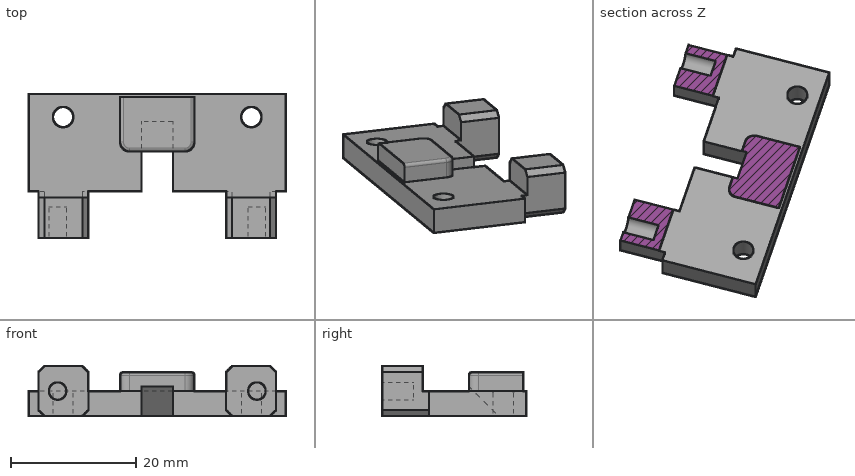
import cadquery as cq

plate_width = 41.0
plate_depth = 15.55
plate_thickness = 3.98
mount_hole_diameter = 3.2
mount_hole_spacing = 30.0
mount_hole_edge_distance = 3.7

lug_size = 8.0
lug_spacing = 29.95
lug_chamfer = 1.0
lug_length = 7.45
lug_neck = 1.0
lug_block_length = lug_length - lug_neck
lug_hole_diameter = 2.8
lug_hole_spacing = 31.78
lug_hole_height = lug_size / 2
lug_hole_depth = 5.0

pad_width = 11.85
pad_depth = 8.7
pad_top = 7.0
pad_back_gap = 0.5
pad_corner_radius = 1.5
pad_edge_radius = 0.55

slot_width = 5.0
slot_height = 4.75
slope_run = slot_height

pad_back = plate_depth - pad_back_gap
pad_front = pad_back - pad_depth


def make_plate():
    plate = cq.Workplane("XY").box(plate_width, plate_depth, plate_thickness, centered=(True, False, False))
    hole_y = plate_depth - mount_hole_edge_distance
    holes = [(side * mount_hole_spacing / 2, hole_y) for side in (-1, 1)]
    cutters = cq.Workplane("XY").pushPoints(holes).circle(mount_hole_diameter / 2).extrude(plate_thickness)
    return plate.cut(cutters)


def make_lug(side):
    """Chamfered block joined to the plate by a neck no taller than the plate."""
    lug = (
        cq.Workplane("XY")
        .box(lug_size, lug_length, lug_size, centered=(True, False, False))
        .edges("|Y")
        .chamfer(lug_chamfer)
    )
    neck_clearance = (
        cq.Workplane("XY")
        .box(lug_size, lug_neck, lug_size, centered=(True, False, False))
        .translate((0, lug_block_length, plate_thickness))
    )
    lug = lug.cut(neck_clearance).translate((side * lug_spacing / 2, -lug_length, 0))
    pin_hole = (
        cq.Workplane("XZ", origin=(side * lug_hole_spacing / 2, -lug_length, lug_hole_height))
        .circle(lug_hole_diameter / 2)
        .extrude(-lug_hole_depth)
    )
    return lug.cut(pin_hole)


def make_pad():
    """Pad with rounded front corners and a rounded top edge along its sides and front."""
    pad = (
        cq.Workplane("XY", origin=(0, pad_front, plate_thickness))
        .box(pad_width, pad_depth, pad_top - plate_thickness, centered=(True, False, False))
        .edges("|Z and <Y")
        .fillet(pad_corner_radius)
    )
    return pad.faces(">Z").edges("not >Y").fillet(pad_edge_radius)


def make_slot():
    """Side profile in YZ: open at the front, deepest at the underside."""
    return (
        cq.Workplane("YZ")
        .moveTo(0, 0)
        .lineTo(pad_front + slope_run, 0)
        .lineTo(pad_front, slot_height)
        .lineTo(0, slot_height)
        .close()
        .extrude(slot_width / 2, both=True)
    )


result = make_plate().union(make_pad()).cut(make_slot())
for side in (-1, 1):
    result = result.union(make_lug(side))